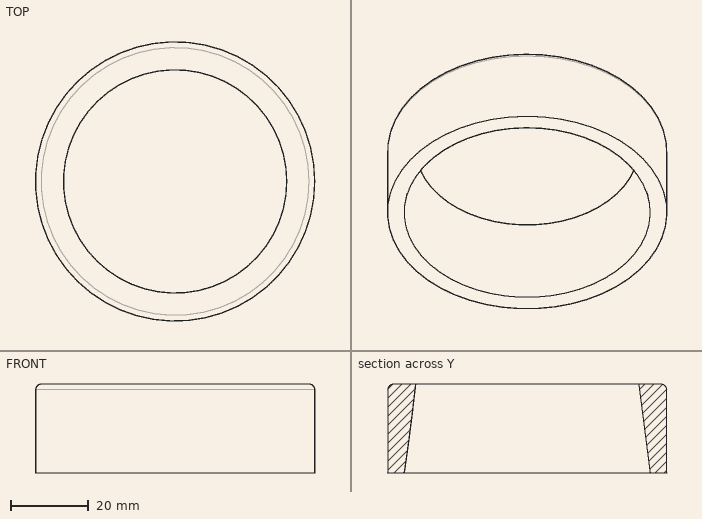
import cadquery as cq

outer_diameter = 72.0
height = 23.0
top_bore_diameter = 57.45
bottom_bore_diameter = 63.35
top_edge_radius = 1.5

outer_radius = outer_diameter / 2
top_bore_radius = top_bore_diameter / 2
bottom_bore_radius = bottom_bore_diameter / 2

section = (
    cq.Workplane("XZ")
    .moveTo(bottom_bore_radius, 0)
    .lineTo(outer_radius, 0)
    .lineTo(outer_radius, height)
    .lineTo(top_bore_radius, height)
    .close()
)
ring = section.revolve(360, (0, 0, 0), (0, 1, 0))

outer_top_edge = cq.selectors.RadiusNthSelector(-1)
result = ring.faces(">Z").edges(outer_top_edge).fillet(top_edge_radius)